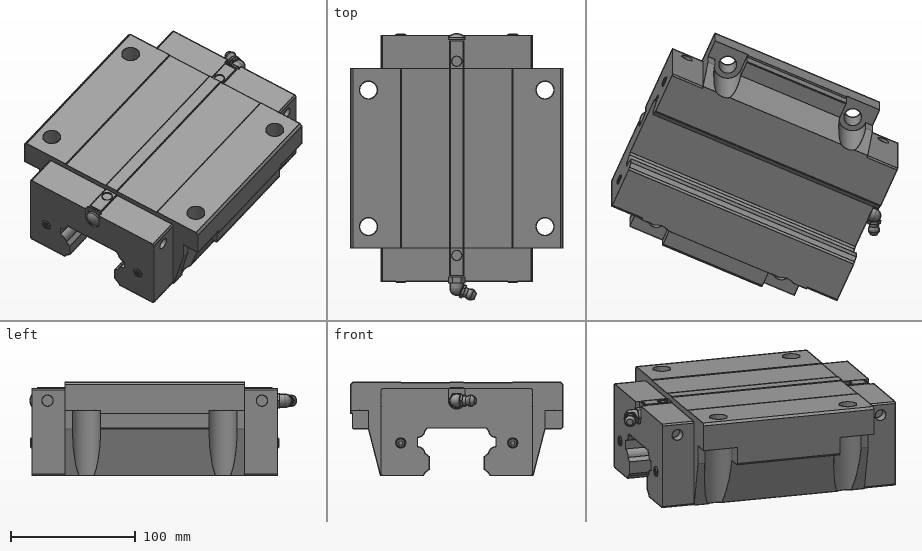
import cadquery as cq
import math


OVERALL_LENGTH = 213.5

BLOCK_HALF_WIDTH = 85.0
BLOCK_LENGTH = 144.0
BLOCK_HEIGHT = 75.0
TOP_CHAMFER = 2.0
FLANGE_BOTTOM = 37.4
FLANGE_CHAMFER = 1.5
DATUM_RELIEF = 1.5
DATUM_BOTTOM = 50.0
DATUM_CORNER = 0.6
WAIST_HALF_WIDTH = 70.7
FOOT_HALF_WIDTH = 61.0

STRIP_HALF_WIDTH = 5.1
RELIEF_OUTER = 44.8
RELIEF_DEPTH = 0.53

HOLE_X = WAIST_HALF_WIDTH
HOLE_Y = 54.7
HOLE_DIAMETER = 14.0
POCKET_RADIUS = 11.3
POCKET_ROOF = 52.3
POCKET_INNER_Y = HOLE_Y - POCKET_RADIUS

CAP_HALF_WIDTH = 60.6
CAP_HEIGHT = 69.8
CAP_END = 98.5
CAP_CHAMFER = 1.3
SEAL_THICKNESS = 4.7
CAP_STRIP_HEIGHT = 0.6
SIDE_PORT_Y = 85.8
SIDE_PORT_RADIUS = 4.5
SIDE_PORT_DEPTH = 8.5
TOP_PORT_Y = 77.7
TOP_PORT_RADIUS = 4.0
TOP_PORT_DEPTH = 1.0
GREASE_Z = 60.0
NOTCH_RADIUS = 6.6
NOTCH_DEPTH = 3.5
NOTCH_FLOOR = CAP_END - NOTCH_DEPTH

RACE_Z = 27.0
RACE_WALL = 31.4
RACE_WALL_HALF_HEIGHT = 3.6
BULGE_MID = (27.0, 5.8)
BULGE_END = (25.5, 9.0)
ROOF_HALF_WIDTH = 23.7
ROOF_Z = 38.0
LIP_HALF_WIDTH = 22.0
LIP_TOP = 15.2
LIP_BOTTOM = 5.1
LEAD_IN = (25.5, 2.3)
MOUTH_HALF_WIDTH = 27.0

SCREW_X = 44.8
SCREW_Z = 26.3
SCREW_RADIUS = 4.0
SCREW_PROUD = 1.0
SCREW_CHAMFER = 0.9
SOCKET_DIAMETER = 3.8

BOSS_DIAMETER = 13.2
BOSS_END = 100.0
ELBOW_RADIUS = 5.3
ELBOW_DROP = 22.5
COLLAR_START = 4.3
COLLAR_END = 6.5
COLLAR_DIAMETER = 10.7
NECK_START_RADIUS = 4.0
NECK_END = 9.0
NECK_RADIUS = 3.6
HEAD_START = 11.7
HEAD_END = 13.0
HEAD_RADIUS = 4.5
TIP_END = 16.0
TIP_RADIUS = 2.5
PLUG_RIM = 1.7

DROP_ANGLE = math.radians(ELBOW_DROP)
SPOUT_REACH = HEAD_END * math.sin(DROP_ANGLE) + HEAD_RADIUS * math.cos(DROP_ANGLE)
ELBOW_Y = BOSS_END - OVERALL_LENGTH + SPOUT_REACH

ENDS = (-1, 1)


def along_y(outline, y_start, y_end):
    """Extrude an outline drawn in X and Z between two Y positions."""
    return outline.extrude(y_start - y_end).translate((0, y_start, 0))


def y_cylinder(x, z, radius, y_start, y_end):
    return along_y(cq.Workplane("XZ").center(x, z).circle(radius), y_start, y_end)


def box_between(low, high):
    size = [b - a for a, b in zip(low, high)]
    return cq.Workplane("XY").box(*size, centered=False).translate(low)


def make_block():
    datum_side = -BLOCK_HALF_WIDTH + DATUM_RELIEF
    outline = cq.Workplane("XZ").polyline([
        (-FOOT_HALF_WIDTH, 0),
        (FOOT_HALF_WIDTH, 0),
        (WAIST_HALF_WIDTH, FLANGE_BOTTOM),
        (BLOCK_HALF_WIDTH - FLANGE_CHAMFER, FLANGE_BOTTOM),
        (BLOCK_HALF_WIDTH, FLANGE_BOTTOM + FLANGE_CHAMFER),
        (BLOCK_HALF_WIDTH, BLOCK_HEIGHT - TOP_CHAMFER),
        (BLOCK_HALF_WIDTH - TOP_CHAMFER, BLOCK_HEIGHT),
        (-BLOCK_HALF_WIDTH + TOP_CHAMFER, BLOCK_HEIGHT),
        (-BLOCK_HALF_WIDTH, BLOCK_HEIGHT - TOP_CHAMFER),
        (-BLOCK_HALF_WIDTH, DATUM_BOTTOM),
        (datum_side, DATUM_BOTTOM),
        (datum_side, FLANGE_BOTTOM + DATUM_CORNER),
        (datum_side + DATUM_CORNER, FLANGE_BOTTOM),
        (-WAIST_HALF_WIDTH, FLANGE_BOTTOM),
    ]).close()
    half_length = BLOCK_LENGTH / 2
    block = along_y(outline, -half_length, half_length)
    for side in ENDS:
        block = block.cut(make_face_relief(side))
        for end in ENDS:
            block = block.cut(make_screw_pocket(side, end))
    return block


def make_face_relief(side):
    floor = BLOCK_HEIGHT - RELIEF_DEPTH
    outline = cq.Workplane("XZ").polyline([
        (side * STRIP_HALF_WIDTH, BLOCK_HEIGHT),
        (side * (STRIP_HALF_WIDTH + RELIEF_DEPTH), floor),
        (side * (RELIEF_OUTER - RELIEF_DEPTH), floor),
        (side * RELIEF_OUTER, BLOCK_HEIGHT),
    ]).close()
    return along_y(outline, -BLOCK_LENGTH / 2, BLOCK_LENGTH / 2)


def make_screw_pocket(side, end):
    """Mounting hole, round relief below it and the flange corner cleared beside it."""
    center = (side * HOLE_X, end * HOLE_Y)
    hole = cq.Workplane("XY").center(*center).circle(HOLE_DIAMETER / 2).extrude(BLOCK_HEIGHT)
    relief = cq.Workplane("XY").center(*center).circle(POCKET_RADIUS).extrude(POCKET_ROOF)
    x_low, x_high = sorted((side * WAIST_HALF_WIDTH, side * BLOCK_HALF_WIDTH))
    y_low, y_high = sorted((end * POCKET_INNER_Y, end * BLOCK_LENGTH / 2))
    corner = box_between((x_low, y_low, 0), (x_high, y_high, POCKET_ROOF))
    return hole.union(relief).union(corner)


def make_cap(end):
    y_inner = end * BLOCK_LENGTH / 2
    y_seal = end * (CAP_END - SEAL_THICKNESS)
    y_outer = end * CAP_END
    outline = cq.Workplane("XZ").center(0, CAP_HEIGHT / 2).rect(2 * CAP_HALF_WIDTH, CAP_HEIGHT)
    cap = along_y(outline, y_inner, y_outer).edges("|Y").chamfer(CAP_CHAMFER)

    strip_top = CAP_HEIGHT + CAP_STRIP_HEIGHT
    strip = cq.Workplane("XZ").polyline([
        (-STRIP_HALF_WIDTH - CAP_STRIP_HEIGHT, CAP_HEIGHT),
        (STRIP_HALF_WIDTH + CAP_STRIP_HEIGHT, CAP_HEIGHT),
        (STRIP_HALF_WIDTH, strip_top),
        (-STRIP_HALF_WIDTH, strip_top),
    ]).close()
    cap = cap.union(along_y(strip, y_inner, y_seal))

    top_port = cq.Workplane("XY", origin=(0, end * TOP_PORT_Y, strip_top))
    cap = cap.cut(top_port.circle(TOP_PORT_RADIUS).extrude(-TOP_PORT_DEPTH))
    for side in ENDS:
        port = cq.Workplane("YZ", origin=(side * CAP_HALF_WIDTH, end * SIDE_PORT_Y, GREASE_Z))
        cap = cap.cut(port.circle(SIDE_PORT_RADIUS).extrude(-side * SIDE_PORT_DEPTH))

    notch = y_cylinder(0, GREASE_Z, NOTCH_RADIUS, end * NOTCH_FLOOR, y_outer)
    y_low, y_high = sorted((end * NOTCH_FLOOR, y_outer))
    notch_mouth = box_between((-NOTCH_RADIUS, y_low, GREASE_Z), (NOTCH_RADIUS, y_high, CAP_HEIGHT))
    return cap.cut(notch).cut(notch_mouth)


def make_rail_opening():
    def race(point, vertical, side):
        return (side * point[0], RACE_Z + vertical * point[1])

    wall_end = (RACE_WALL, RACE_WALL_HALF_HEIGHT)
    outline = (
        cq.Workplane("XZ")
        .moveTo(MOUTH_HALF_WIDTH, 0)
        .lineTo(*LEAD_IN)
        .lineTo(LIP_HALF_WIDTH, LIP_BOTTOM)
        .lineTo(LIP_HALF_WIDTH, LIP_TOP)
        .lineTo(*race(BULGE_END, -1, 1))
        .threePointArc(race(BULGE_MID, -1, 1), race(wall_end, -1, 1))
        .lineTo(*race(wall_end, 1, 1))
        .threePointArc(race(BULGE_MID, 1, 1), race(BULGE_END, 1, 1))
        .lineTo(ROOF_HALF_WIDTH, ROOF_Z)
        .lineTo(-ROOF_HALF_WIDTH, ROOF_Z)
        .lineTo(*race(BULGE_END, 1, -1))
        .threePointArc(race(BULGE_MID, 1, -1), race(wall_end, 1, -1))
        .lineTo(*race(wall_end, -1, -1))
        .threePointArc(race(BULGE_MID, -1, -1), race(BULGE_END, -1, -1))
        .lineTo(-LIP_HALF_WIDTH, LIP_TOP)
        .lineTo(-LIP_HALF_WIDTH, LIP_BOTTOM)
        .lineTo(-LEAD_IN[0], LEAD_IN[1])
        .lineTo(-MOUTH_HALF_WIDTH, 0)
        .close()
    )
    return along_y(outline, -CAP_END, CAP_END)


def make_cap_screw(side, end):
    x = side * SCREW_X
    y_tip = end * (CAP_END + SCREW_PROUD)
    head = y_cylinder(x, SCREW_Z, SCREW_RADIUS, end * NOTCH_FLOOR, y_tip)
    head = head.faces(">Y" if end > 0 else "<Y").chamfer(SCREW_CHAMFER)
    socket = cq.Workplane("XZ").center(x, SCREW_Z).polygon(6, SOCKET_DIAMETER)
    return head.cut(along_y(socket, end * CAP_END, y_tip))


def make_nipple():
    hexagon = cq.Workplane("XZ").center(0, GREASE_Z).polygon(6, BOSS_DIAMETER)
    nipple = along_y(hexagon, -NOTCH_FLOOR, -BOSS_END)
    nipple = nipple.union(y_cylinder(0, GREASE_Z, ELBOW_RADIUS, -BOSS_END, ELBOW_Y))

    elbow_center = (0, ELBOW_Y, GREASE_Z)
    nipple = nipple.union(cq.Workplane("XY").sphere(ELBOW_RADIUS).translate(elbow_center))

    collar = cq.Workplane("YZ").workplane(offset=COLLAR_START).polygon(6, COLLAR_DIAMETER)
    collar = collar.extrude(COLLAR_END - COLLAR_START)
    spout = cq.Workplane("XY").polyline([
        (0, 0),
        (0, NECK_START_RADIUS),
        (COLLAR_END, NECK_START_RADIUS),
        (NECK_END, NECK_RADIUS),
        (HEAD_START, HEAD_RADIUS),
        (HEAD_END, HEAD_RADIUS),
        (TIP_END, TIP_RADIUS),
        (TIP_END, 0),
    ]).close().revolve(360, (0, 0, 0), (1, 0, 0))
    spout = spout.union(collar).rotate((0, 0, 0), (0, 0, 1), -ELBOW_DROP).translate(elbow_center)
    return nipple.union(spout)


def make_plug():
    """Round plug with a domed head in the notch of the +Y cap."""
    rim_y = NOTCH_FLOOR + PLUG_RIM
    crown = BOSS_END - rim_y
    dome_radius = (NOTCH_RADIUS ** 2 + crown ** 2) / (2 * crown)
    half_angle = math.asin(NOTCH_RADIUS / dome_radius) / 2
    dome_mid = (
        dome_radius * math.sin(half_angle),
        BOSS_END - dome_radius * (1 - math.cos(half_angle)),
    )
    profile = (
        cq.Workplane("XY")
        .moveTo(0, NOTCH_FLOOR)
        .lineTo(NOTCH_RADIUS, NOTCH_FLOOR)
        .lineTo(NOTCH_RADIUS, rim_y)
        .threePointArc(dome_mid, (0, BOSS_END))
        .close()
    )
    return profile.revolve(360, (0, 0, 0), (0, 1, 0)).translate((0, 0, GREASE_Z))


result = make_block()
for end in ENDS:
    result = result.union(make_cap(end))
result = result.cut(make_rail_opening())
for end in ENDS:
    for side in ENDS:
        result = result.union(make_cap_screw(side, end))
result = result.union(make_nipple()).union(make_plug())